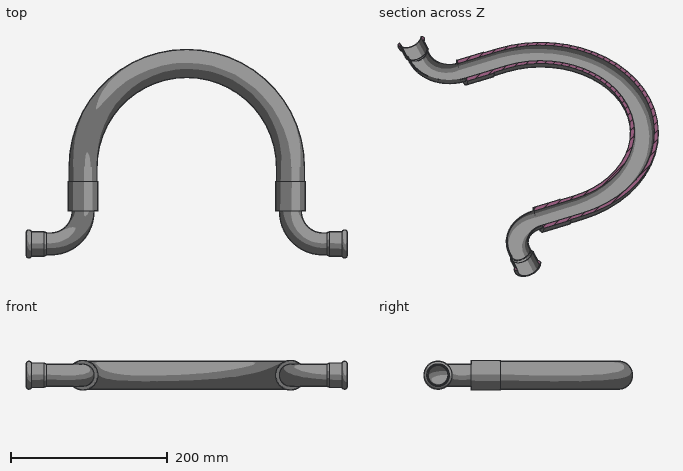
import cadquery as cq

overall_width = 410.0
overall_depth = 266.5
mouth_x = -overall_width / 2

pipe_diameter = 36.0
leg_offset = 132.5

sleeve_diameter = 38.0
sleeve_length = 37.5
sleeve_start_y = 42.2

elbow_diameter = 28.3
bore_diameter = 25.0
elbow_bend_radius = 41.5

socket_diameter = 31.5
socket_bore = 28.0
socket_length = 22.5
neck_length = 3.5
bead_diameter = 36.0
bead_width = 7.0
lead_in_depth = 5.0

bend_radius = leg_offset
bead_shoulder = bead_diameter / 2 - bead_width / 2
bend_centre_y = overall_depth - bead_diameter / 2 - bend_radius - pipe_diameter / 2
sleeve_end_y = sleeve_start_y + sleeve_length
elbow_start_x = -leg_offset - elbow_bend_radius
socket_end_x = mouth_x + socket_length
neck_end_x = socket_end_x + neck_length


def rod_along_x(diameter, start_x, end_x):
    """Round bar on the axis of the left socket."""
    return cq.Workplane("YZ", origin=(start_x, 0, 0)).circle(diameter / 2).extrude(end_x - start_x)


def leg_plane(start_y):
    """Plane across the left leg, facing +Y."""
    return cq.Workplane(cq.Plane(origin=(-leg_offset, start_y, 0), xDir=(1, 0, 0), normal=(0, 1, 0)))


def rod_along_y(diameter, start_y, end_y):
    """Round bar on the axis of the left leg."""
    return leg_plane(start_y).circle(diameter / 2).extrude(end_y - start_y)


def taper(start_diameter, end_diameter, start_x, end_x):
    """Cone on the axis of the left socket."""
    profile = [
        (start_x, 0),
        (start_x, start_diameter / 2),
        (end_x, end_diameter / 2),
        (end_x, 0),
    ]
    return cq.Workplane("XY").polyline(profile).close().revolve(360, (0, 0), (1, 0))


def elbow(diameter):
    """Quarter bend from the socket axis up into the left leg."""
    path = (
        cq.Workplane("XY")
        .moveTo(elbow_start_x, 0)
        .radiusArc((-leg_offset, elbow_bend_radius), -elbow_bend_radius)
    )
    return cq.Workplane("YZ", origin=(elbow_start_x, 0, 0)).circle(diameter / 2).sweep(path)


def large_bend(diameter):
    """Half-circle bend joining the two legs."""
    path = (
        cq.Workplane("XY")
        .moveTo(-bend_radius, bend_centre_y)
        .threePointArc((0, bend_centre_y + bend_radius), (bend_radius, bend_centre_y))
    )
    return leg_plane(bend_centre_y).circle(diameter / 2).sweep(path)


def mirrored(half):
    """A left-hand body together with its right-hand twin."""
    return half.union(half.mirror("YZ"))


def bead():
    """Half-round ring around the socket mouth."""
    return (
        cq.Workplane("XY")
        .moveTo(mouth_x, 0)
        .lineTo(mouth_x, bead_shoulder)
        .threePointArc((mouth_x + bead_width / 2, bead_diameter / 2), (mouth_x + bead_width, bead_shoulder))
        .lineTo(mouth_x + bead_width, 0)
        .close()
        .revolve(360, (0, 0), (1, 0))
    )


def outer_left():
    """Solid outside of the socket, elbow, sleeve and leg."""
    return (
        rod_along_x(socket_diameter, mouth_x + bead_width / 2, socket_end_x)
        .union(bead())
        .union(taper(socket_diameter, elbow_diameter, socket_end_x, neck_end_x))
        .union(rod_along_x(elbow_diameter, neck_end_x, elbow_start_x))
        .union(elbow(elbow_diameter))
        .union(rod_along_y(elbow_diameter, elbow_bend_radius, sleeve_start_y))
        .union(rod_along_y(sleeve_diameter, sleeve_start_y, sleeve_end_y))
        .union(rod_along_y(pipe_diameter, sleeve_end_y, bend_centre_y))
    )


def bore_left():
    """Inside passage from the socket mouth to the large bend."""
    return (
        taper(2 * bead_shoulder, socket_bore, mouth_x, mouth_x + lead_in_depth)
        .union(rod_along_x(socket_bore, mouth_x + lead_in_depth, socket_end_x))
        .union(taper(socket_bore, bore_diameter, socket_end_x, neck_end_x))
        .union(rod_along_x(bore_diameter, neck_end_x, elbow_start_x))
        .union(elbow(bore_diameter))
        .union(rod_along_y(bore_diameter, elbow_bend_radius, bend_centre_y))
    )


outside = mirrored(outer_left()).union(large_bend(pipe_diameter))
passage = mirrored(bore_left()).union(large_bend(bore_diameter))
result = outside.cut(passage)